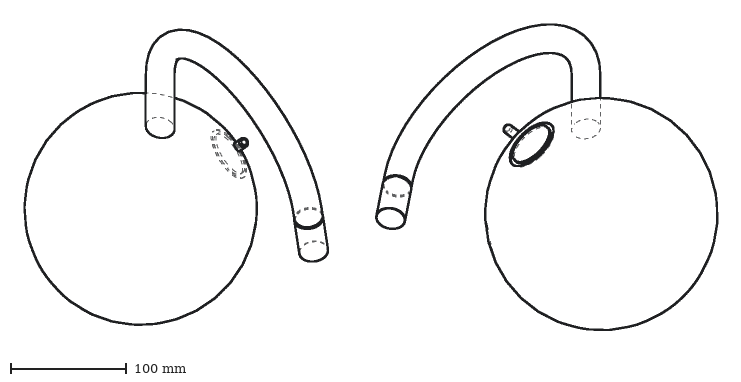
import cadquery as cq
import math

body_diameter = 201.0
body_radius = body_diameter / 2

cap_diameter = 40.0
cap_groove_diameter = 48.0
cap_groove_floor_y = 96.0

lever_diameter = 8.0
lever_reach = 74.0
lever_tilt = 30
lever_y = 84.5
lever_chamfer = 1.5

pipe_diameter = 25.0
pipe_y = 21.5
neck_top_z = 173.0
bend_radius = 103.5
bend_angle = 170

collar_length = 10.0
outlet_groove_diameter = 23.5
outlet_groove_width = 1.0
head_diameter = 25.3
head_length = 40.0
head_chamfer = 0.5


def cylinder_between_y(diameter, start_y, end_y):
    """Cylinder about the Y axis."""
    return cq.Workplane("XZ", origin=(0, start_y, 0)).circle(diameter / 2).extrude(start_y - end_y)


def make_body():
    """Sphere turned about Y, with the annular groove around its cap."""
    sphere = (
        cq.Workplane("XY")
        .moveTo(0, -body_radius)
        .threePointArc((body_radius, 0), (0, body_radius))
        .close()
        .revolve(360, (0, 0), (0, 1))
    )
    groove_disc = cylinder_between_y(cap_groove_diameter, cap_groove_floor_y, body_radius)
    cap_core = cylinder_between_y(cap_diameter, cap_groove_floor_y, body_radius)
    return sphere.cut(groove_disc.cut(cap_core))


def make_lever():
    """Round pin that starts on the Y axis inside the body."""
    tilt = math.radians(lever_tilt)
    direction = (math.sin(tilt), 0, math.cos(tilt))
    plane = cq.Plane(origin=(0, lever_y, 0), xDir=(0, 1, 0), normal=direction)
    pin = cq.Workplane(plane).circle(lever_diameter / 2).extrude(lever_reach)
    return pin.faces(">Z").chamfer(lever_chamfer)


def make_pipe():
    """Vertical neck followed by the circular bend."""
    neck = cq.Workplane("XY", origin=(0, pipe_y, 0)).circle(pipe_diameter / 2).extrude(neck_top_z)
    bend = (
        cq.Workplane("XY", origin=(0, pipe_y, neck_top_z))
        .circle(pipe_diameter / 2)
        .revolve(bend_angle, (bend_radius, 0), (bend_radius, 1))
    )
    return neck.union(bend)


def make_outlet():
    """Collar, groove and head along the tangent at the end of the bend."""
    angle = math.radians(bend_angle)
    bend_end = (
        bend_radius * (1 - math.cos(angle)),
        pipe_y,
        neck_top_z + bend_radius * math.sin(angle),
    )
    tangent = (math.sin(angle), 0, math.cos(angle))
    plane = cq.Plane(origin=bend_end, xDir=(0, 1, 0), normal=tangent)
    head_start = collar_length + outlet_groove_width
    collar = cq.Workplane(plane).circle(pipe_diameter / 2).extrude(collar_length)
    core = cq.Workplane(plane).circle(outlet_groove_diameter / 2).extrude(head_start)
    head = cq.Workplane(plane).workplane(offset=head_start).circle(head_diameter / 2).extrude(head_length)
    head = head.faces("<Z").chamfer(head_chamfer)
    return collar.union(core).union(head)


result = make_body().union(make_pipe()).union(make_outlet()).union(make_lever())